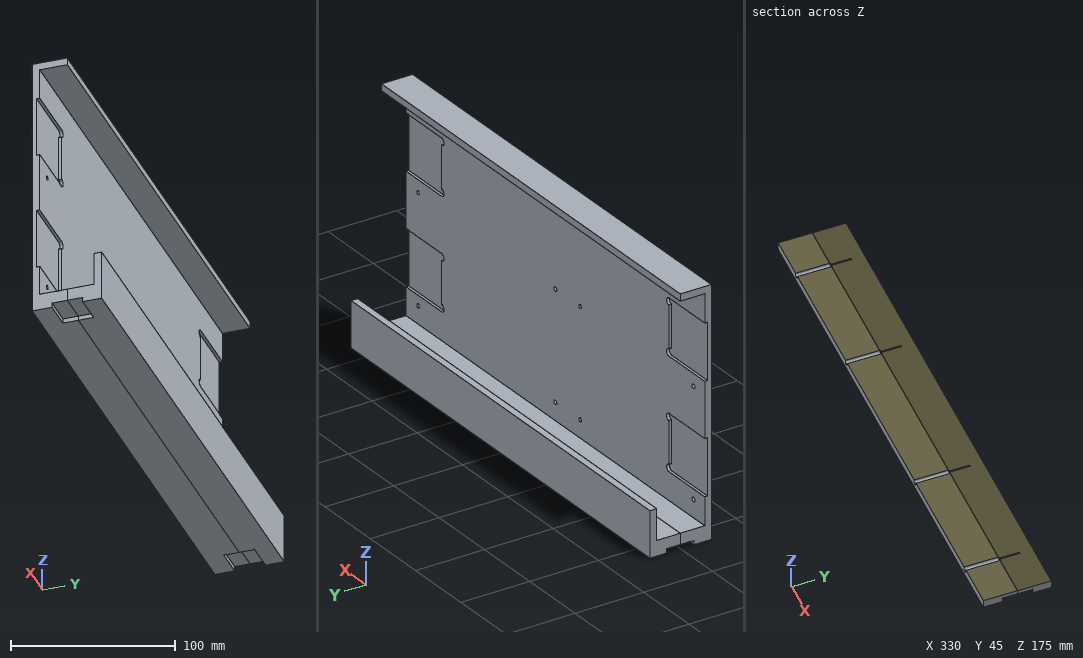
import cadquery as cq

LENGTH = 330.0
DEPTH = 45.0
HEIGHT = 175.0

WALL = 5.0
FLOOR = 11.0
LIP_HEIGHT = 32.7
SPLIT_Y = 22.8

NOTCH_WIDTH = 19.8
NOTCH_HEIGHT = 3.0
NOTCH_LENGTH = 19.8

POCKET_HEIGHT = 40.0
POCKET_DEPTH = 2.0
POCKET_LENGTH = 39.5
RELIEF_DIAMETER = 5.0
POCKET_BOTTOMS = (30.7, 110.0)

MOUNT_DIAMETER = 2.6
SLOT_LENGTH = 3.3
SLOT_XS = (12.5, 165.0)
ROUND_XS = (137.5, 316.5)
MOUNT_ZS = (23.5, 101.0)

SCREW_CLEARANCE = 3.0
SCREW_PILOT = 1.5
SCREW_DEPTH_IN_RAIL = 13.2
SCREW_Z = 5.0
SCREW_INSET = 29.7
SCREW_SPACING = 80.2
SCREW_XS = (
    SCREW_INSET,
    SCREW_INSET + SCREW_SPACING,
    LENGTH - SCREW_INSET - SCREW_SPACING,
    LENGTH - SCREW_INSET,
)
SCREW_POINTS = [(x, SCREW_Z) for x in SCREW_XS]


def extrude_section(points):
    """Extrude a (Y, Z) outline along the full length in X."""
    return cq.Workplane("YZ").polyline(points).close().extrude(LENGTH)


def box_from(x, y, z, length, depth, height):
    """Box with its lowest corner at (x, y, z)."""
    return cq.Workplane("XY").box(length, depth, height, centered=False).translate((x, y, z))


def holes_along_y(points, diameter, start_y, depth):
    """Cylinders at (X, Z) points, running towards +Y."""
    plane = cq.Workplane("XZ", origin=(0, start_y, 0))
    return plane.pushPoints(points).circle(diameter / 2).extrude(-depth)


def end_notches():
    """Notches across the joint, cut into the underside at both ends."""
    start_y = SPLIT_Y - NOTCH_WIDTH / 2
    left = box_from(0, start_y, 0, NOTCH_LENGTH, NOTCH_WIDTH, NOTCH_HEIGHT)
    right = left.translate((LENGTH - NOTCH_LENGTH, 0, 0))
    return left.union(right)


def panel_pocket(bottom, at_left):
    """Pocket open at one end of the panel, with round reliefs bulging from its end wall at both corners."""
    x = 0 if at_left else LENGTH - POCKET_LENGTH
    wall_x = POCKET_LENGTH if at_left else LENGTH - POCKET_LENGTH
    floor_y = WALL - POCKET_DEPTH
    pocket = box_from(x, floor_y, bottom, POCKET_LENGTH, POCKET_DEPTH, POCKET_HEIGHT)
    relief_radius = RELIEF_DIAMETER / 2
    relief_points = [
        (wall_x, bottom + relief_radius),
        (wall_x, bottom + POCKET_HEIGHT - relief_radius),
    ]
    return pocket.union(holes_along_y(relief_points, RELIEF_DIAMETER, floor_y, POCKET_DEPTH))


def mounting_holes():
    """Slots and round holes through the back panel."""
    slot_points = [(x, z) for x in SLOT_XS for z in MOUNT_ZS]
    round_points = [(x, z) for x in ROUND_XS for z in MOUNT_ZS]
    slots = cq.Workplane("XZ").pushPoints(slot_points).slot2D(SLOT_LENGTH, MOUNT_DIAMETER).extrude(-WALL)
    return slots.union(holes_along_y(round_points, MOUNT_DIAMETER, 0, WALL))


def make_panel():
    """Back panel with the top flange and its half of the floor."""
    panel = extrude_section([
        (0, 0),
        (SPLIT_Y, 0),
        (SPLIT_Y, FLOOR),
        (WALL, FLOOR),
        (WALL, HEIGHT - WALL),
        (SPLIT_Y, HEIGHT - WALL),
        (SPLIT_Y, HEIGHT),
        (0, HEIGHT),
    ])
    panel = panel.cut(end_notches())
    for bottom in POCKET_BOTTOMS:
        for at_left in (True, False):
            panel = panel.cut(panel_pocket(bottom, at_left))
    panel = panel.cut(mounting_holes())
    return panel.cut(holes_along_y(SCREW_POINTS, SCREW_CLEARANCE, 0, SPLIT_Y))


def make_rail():
    """L-shaped rail with the other half of the floor and the upright lip."""
    rail = extrude_section([
        (SPLIT_Y, 0),
        (DEPTH, 0),
        (DEPTH, LIP_HEIGHT),
        (DEPTH - WALL, LIP_HEIGHT),
        (DEPTH - WALL, FLOOR),
        (SPLIT_Y, FLOOR),
    ])
    rail = rail.cut(end_notches())
    return rail.cut(holes_along_y(SCREW_POINTS, SCREW_PILOT, SPLIT_Y, SCREW_DEPTH_IN_RAIL))


panel = make_panel()
rail = make_rail()

result = cq.Compound.makeCompound([panel.val(), rail.val()])